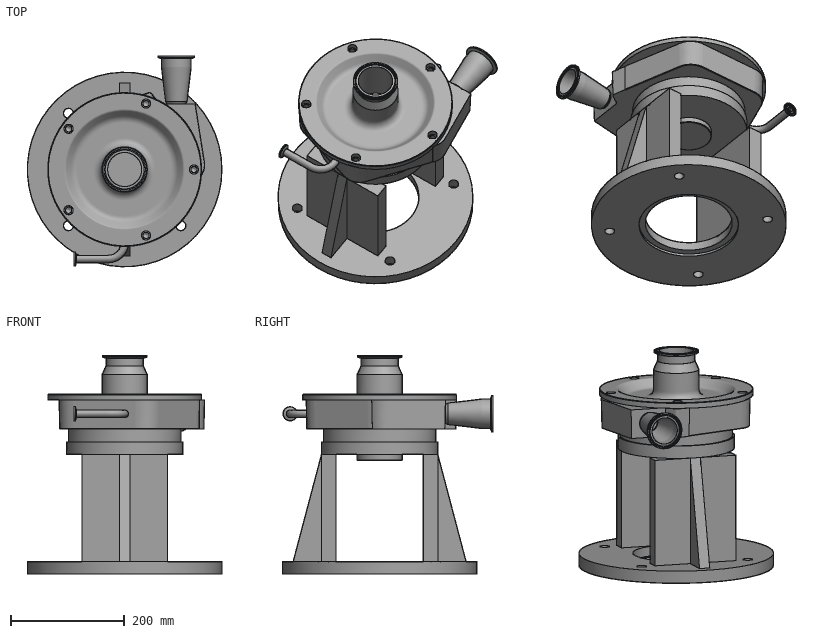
import cadquery as cq
import math

BASE_DIA = 343.0
BASE_THICK = 22.0
BASE_BORE_DIA = 153.0
BASE_RECESS_DIA = 175.0
BASE_RECESS_DEPTH = 5.0
BASE_HOLE_DIA = 17.0
BASE_HOLE_CIRCLE_DIA = 280.0
BASE_HOLE_COUNT = 4
UPRIGHT_WIDTH = 151.0
UPRIGHT_TOP_Z = 211.0
UPRIGHT_THICK = 26.0
GUSSET_WIDTH = 19.0
GUSSET_REACH = 50.0

LOWER_RING_DIA = 205.0
LOWER_RING_TOP_Z = 233.0
UPPER_RING_DIA = 198.5
STUB_LENGTH = 10.5
STUB_CHAMFER = 1.0

CASING_BOTTOM_Z = 255.5
CASING_TOP_Z = 307.0
CASING_SIDES = 5
CORNER_CIRCLE_RADIUS = 98.7
CORNER_RADIUS = 35.8
CASING_DRAFT_DEG = 1.3
CASING_EDGE_CHAMFER = 1.0

SHOULDER_FACE_Y = 115.8
SHOULDER_TOP_X = 124.3
SHOULDER_SIDE_X = 140.2
SHOULDER_SIDE_Y = 15.0
SHOULDER_ROUND_X = 140.5
SHOULDER_ROUND_Y = 3.0
SHOULDER_TAIL_X = 132.0
SHOULDER_TAIL_Y = -14.0
LUG_TIP_X = 46.0
LUG_FOOT_X = 60.0
LUG_TIP_FILLET = 6.0

COVER_DIA = 271.0
COVER_TOP_Z = 317.0
COVER_EDGE_CHAMFER = 1.0
DISH_DEPTH = 15.0
DISH_FLOOR_RADIUS = 83.0
DISH_FLOOR_FILLET = 15.0
DISH_RIM_FILLET = 5.0
DISH_WALL_DEG = 45.0
BOLT_CIRCLE_DIA = 244.0
BOLT_CLEARANCE_DIA = 16.0
BOLT_TAP_DIA = 11.0
BOLT_TAP_DEPTH = 20.0
DRILL_POINT_DEG = 118.0

SUCTION_BODY_DIA = 79.8
SUCTION_NECK_DIA = 65.8
SUCTION_BORE_DIA = 60.0
SUCTION_FLANGE_DIA = 78.0
SUCTION_BODY_TOP_Z = 351.5
SUCTION_NECK_START_Z = 367.0
SUCTION_TOP_Z = 385.0
SUCTION_ROOT_FILLET = 14.5

NOZZLE_AXIS_Z = 282.5
DISCHARGE_X = 91.0
DISCHARGE_END_Y = 200.0
DISCHARGE_FLANGE_DIA = 64.0
DISCHARGE_NECK_DIA = 52.5
DISCHARGE_CONE_START_Y = 180.0
DISCHARGE_ROOT_DIA = 38.0
DISCHARGE_CONE_END_Y = 120.0
DISCHARGE_WELD_DIA = 33.0
DISCHARGE_BORE_DIA = 31.0
DISCHARGE_MOUTH_DIA = 47.0

DRAIN_DIA = 13.3
DRAIN_BORE_DIA = 9.0
DRAIN_Y = -157.7
DRAIN_END_X = -89.6
DRAIN_BEND_RADIUS = 29.0
DRAIN_ROOT_Y = -112.0
DRAIN_FLANGE_DIA = 25.0

FLANGE_RIM = 2.8
FLANGE_TAPER = 2.0
GROOVE_INSET = 2.5
GROOVE_WIDTH = 2.2
GROOVE_DEPTH = 1.0

WELD_OVERLAP = 3.0

CORNER_STEP_DEG = 360 / CASING_SIDES
CASING_HEIGHT = CASING_TOP_Z - CASING_BOTTOM_Z
DISH_FLOOR_Z = COVER_TOP_Z - DISH_DEPTH
UPRIGHT_OUTER_Y = LOWER_RING_DIA / 2


def disc(diameter, bottom_z, top_z):
    return cq.Workplane("XY").workplane(offset=bottom_z).circle(diameter / 2).extrude(top_z - bottom_z)


def revolve_z(profile):
    """Turn a closed (radius, height) profile about the Z axis."""
    return profile.close().revolve(360, (0, 0, 0), (0, 1, 0))


def clamp_flange(diameter, tube_dia):
    """Clamp flange about Z: flat sealing face at z = 0, tapering back to the tube below it."""
    radius = diameter / 2
    body = revolve_z(
        cq.Workplane("XZ")
        .lineTo(radius, 0)
        .lineTo(radius, -FLANGE_RIM)
        .lineTo(tube_dia / 2, -FLANGE_RIM - FLANGE_TAPER)
        .lineTo(0, -FLANGE_RIM - FLANGE_TAPER)
    )
    groove_outer = radius - GROOVE_INSET
    groove = (
        cq.Workplane("XY")
        .circle(groove_outer)
        .circle(groove_outer - GROOVE_WIDTH)
        .extrude(-GROOVE_DEPTH)
    )
    return body.cut(groove)


def make_stand():
    base = (
        disc(BASE_DIA, 0, BASE_THICK)
        .cut(disc(BASE_BORE_DIA, 0, BASE_THICK))
        .cut(disc(BASE_RECESS_DIA, 0, BASE_RECESS_DEPTH))
    )
    holes = (
        cq.Workplane("XY")
        .polarArray(BASE_HOLE_CIRCLE_DIA / 2, 180 / BASE_HOLE_COUNT, 360, BASE_HOLE_COUNT)
        .circle(BASE_HOLE_DIA / 2)
        .extrude(BASE_THICK)
    )
    stand = base.cut(holes)
    upright = (
        cq.Workplane("XY")
        .box(UPRIGHT_WIDTH, UPRIGHT_THICK, UPRIGHT_TOP_Z - BASE_THICK, centered=(True, False, False))
        .translate((0, UPRIGHT_OUTER_Y - UPRIGHT_THICK, BASE_THICK))
    )
    gusset = (
        cq.Workplane("YZ")
        .moveTo(UPRIGHT_OUTER_Y, BASE_THICK)
        .lineTo(UPRIGHT_OUTER_Y + GUSSET_REACH, BASE_THICK)
        .lineTo(UPRIGHT_OUTER_Y, UPRIGHT_TOP_Z)
        .close()
        .extrude(GUSSET_WIDTH / 2, both=True)
    )
    leg = upright.union(gusset)
    return stand.union(leg).union(leg.mirror("XZ"))


def make_rings():
    lower = disc(LOWER_RING_DIA, UPRIGHT_TOP_Z, LOWER_RING_TOP_Z)
    upper = disc(UPPER_RING_DIA, LOWER_RING_TOP_Z, CASING_BOTTOM_Z)
    stub = disc(SUCTION_BODY_DIA, UPRIGHT_TOP_Z - STUB_LENGTH, UPRIGHT_TOP_Z)
    return lower.union(upper).union(stub.faces("<Z").chamfer(STUB_CHAMFER))


def corner_point(corner_deg, normal_deg):
    """Point on a casing corner round where its outward normal has the given direction."""
    corner = math.radians(corner_deg)
    normal = math.radians(normal_deg)
    return (
        CORNER_CIRCLE_RADIUS * math.cos(corner) + CORNER_RADIUS * math.cos(normal),
        CORNER_CIRCLE_RADIUS * math.sin(corner) + CORNER_RADIUS * math.sin(normal),
    )


def casing_extrude(outline):
    """Extrude a closed outline from the casing top down, with the casing draft."""
    return outline.close().extrude(-CASING_HEIGHT, taper=CASING_DRAFT_DEG)


def make_casing():
    """Drafted pentagon with rounded corners that point at the cover bolts."""
    half_step = CORNER_STEP_DEG / 2
    outline = cq.Workplane("XY").workplane(offset=CASING_TOP_Z).moveTo(*corner_point(0, -half_step))
    for i in range(CASING_SIDES):
        corner = i * CORNER_STEP_DEG
        if i > 0:
            outline = outline.lineTo(*corner_point(corner, corner - half_step))
        outline = outline.threePointArc(
            corner_point(corner, corner), corner_point(corner, corner + half_step)
        )
    return casing_extrude(outline).faces("<Z").chamfer(CASING_EDGE_CHAMFER)


def make_shoulder():
    """Discharge shoulder and the small lug that carries a pentagon side past its corner."""
    lug_side_normal = 1.5 * CORNER_STEP_DEG
    lug_start_x, lug_start_y = corner_point(CORNER_STEP_DEG, lug_side_normal)
    lug_tip_y = lug_start_y - (LUG_TIP_X - lug_start_x) / math.tan(math.radians(lug_side_normal))
    outline = (
        cq.Workplane("XY")
        .workplane(offset=CASING_TOP_Z)
        .lineTo(SHOULDER_TAIL_X, SHOULDER_TAIL_Y)
        .threePointArc((SHOULDER_ROUND_X, SHOULDER_ROUND_Y), (SHOULDER_SIDE_X, SHOULDER_SIDE_Y))
        .lineTo(SHOULDER_TOP_X, SHOULDER_FACE_Y)
        .lineTo(LUG_FOOT_X, SHOULDER_FACE_Y)
        .lineTo(LUG_TIP_X, lug_tip_y)
        .lineTo(lug_start_x, lug_start_y)
    )
    lug_tip = cq.NearestToPointSelector((LUG_TIP_X, lug_tip_y, CASING_TOP_Z - CASING_HEIGHT / 2))
    return casing_extrude(outline).edges(lug_tip).fillet(LUG_TIP_FILLET)


def dish_cutter():
    """Ring-shaped dish: rim round, sloping wall, floor fillet, flat floor, nozzle root fillet."""
    slope = math.radians(DISH_WALL_DEG)
    half = slope / 2

    floor_end_r = DISH_FLOOR_RADIUS + DISH_FLOOR_FILLET * math.sin(slope)
    floor_end_z = DISH_FLOOR_Z + DISH_FLOOR_FILLET * (1 - math.cos(slope))
    floor_mid_r = DISH_FLOOR_RADIUS + DISH_FLOOR_FILLET * math.sin(half)
    floor_mid_z = DISH_FLOOR_Z + DISH_FLOOR_FILLET * (1 - math.cos(half))

    rim_start_z = COVER_TOP_Z - DISH_RIM_FILLET * (1 - math.cos(slope))
    rim_start_r = floor_end_r + (rim_start_z - floor_end_z) / math.tan(slope)
    rim_r = rim_start_r + DISH_RIM_FILLET * math.sin(slope)
    rim_mid_r = rim_r - DISH_RIM_FILLET * math.sin(half)
    rim_mid_z = COVER_TOP_Z - DISH_RIM_FILLET * (1 - math.cos(half))

    root_r = SUCTION_BODY_DIA / 2
    root_center_r = root_r + SUCTION_ROOT_FILLET
    root_center_z = DISH_FLOOR_Z + SUCTION_ROOT_FILLET
    root_offset = SUCTION_ROOT_FILLET / math.sqrt(2)
    return revolve_z(
        cq.Workplane("XZ")
        .moveTo(root_r, COVER_TOP_Z)
        .lineTo(root_r, root_center_z)
        .threePointArc(
            (root_center_r - root_offset, root_center_z - root_offset),
            (root_center_r, DISH_FLOOR_Z),
        )
        .lineTo(DISH_FLOOR_RADIUS, DISH_FLOOR_Z)
        .threePointArc((floor_mid_r, floor_mid_z), (floor_end_r, floor_end_z))
        .lineTo(rim_start_r, rim_start_z)
        .threePointArc((rim_mid_r, rim_mid_z), (rim_r, COVER_TOP_Z))
    )


def bolt_cutters():
    """Clearance holes in the cover over blind drilled holes in the casing corners."""
    tap_r = BOLT_TAP_DIA / 2
    tap_bottom_z = CASING_TOP_Z - BOLT_TAP_DEPTH
    point_z = tap_bottom_z - tap_r / math.tan(math.radians(DRILL_POINT_DEG / 2))
    cutter = revolve_z(
        cq.Workplane("XZ")
        .moveTo(0, COVER_TOP_Z)
        .lineTo(BOLT_CLEARANCE_DIA / 2, COVER_TOP_Z)
        .lineTo(BOLT_CLEARANCE_DIA / 2, CASING_TOP_Z)
        .lineTo(tap_r, CASING_TOP_Z)
        .lineTo(tap_r, tap_bottom_z)
        .lineTo(0, point_z)
    ).translate((BOLT_CIRCLE_DIA / 2, 0, 0))
    cutters = cq.Workplane("XY")
    for i in range(CASING_SIDES):
        cutters = cutters.union(cutter.rotate((0, 0, 0), (0, 0, 1), i * CORNER_STEP_DEG))
    return cutters


def make_cover():
    cover = disc(COVER_DIA, CASING_TOP_Z, COVER_TOP_Z)
    return cover.faces(">Z").chamfer(COVER_EDGE_CHAMFER)


def make_suction():
    body = revolve_z(
        cq.Workplane("XZ")
        .moveTo(0, DISH_FLOOR_Z)
        .lineTo(SUCTION_BODY_DIA / 2, DISH_FLOOR_Z)
        .lineTo(SUCTION_BODY_DIA / 2, SUCTION_BODY_TOP_Z)
        .lineTo(SUCTION_NECK_DIA / 2, SUCTION_NECK_START_Z)
        .lineTo(SUCTION_NECK_DIA / 2, SUCTION_TOP_Z - FLANGE_RIM)
        .lineTo(0, SUCTION_TOP_Z - FLANGE_RIM)
    )
    flange = clamp_flange(SUCTION_FLANGE_DIA, SUCTION_NECK_DIA).translate((0, 0, SUCTION_TOP_Z))
    return body.union(flange)


def to_discharge(shape):
    """Move a shape built along Z (Z standing for the part's Y) onto the discharge axis."""
    return shape.rotate((0, 0, 0), (1, 0, 0), -90).translate((DISCHARGE_X, 0, NOZZLE_AXIS_Z))


def make_discharge():
    body = revolve_z(
        cq.Workplane("XZ")
        .moveTo(0, SHOULDER_FACE_Y - WELD_OVERLAP)
        .lineTo(DISCHARGE_WELD_DIA / 2, SHOULDER_FACE_Y - WELD_OVERLAP)
        .lineTo(DISCHARGE_WELD_DIA / 2, SHOULDER_FACE_Y)
        .lineTo(DISCHARGE_ROOT_DIA / 2, DISCHARGE_CONE_END_Y)
        .lineTo(DISCHARGE_NECK_DIA / 2, DISCHARGE_CONE_START_Y)
        .lineTo(DISCHARGE_NECK_DIA / 2, DISCHARGE_END_Y - FLANGE_RIM)
        .lineTo(0, DISCHARGE_END_Y - FLANGE_RIM)
    )
    flange = clamp_flange(DISCHARGE_FLANGE_DIA, DISCHARGE_NECK_DIA).translate((0, 0, DISCHARGE_END_Y))
    return to_discharge(body.union(flange))


def discharge_bore():
    return to_discharge(
        revolve_z(
            cq.Workplane("XZ")
            .moveTo(0, SHOULDER_FACE_Y)
            .lineTo(DISCHARGE_BORE_DIA / 2, SHOULDER_FACE_Y)
            .lineTo(DISCHARGE_BORE_DIA / 2, DISCHARGE_CONE_END_Y)
            .lineTo(DISCHARGE_MOUTH_DIA / 2, DISCHARGE_CONE_START_Y)
            .lineTo(DISCHARGE_MOUTH_DIA / 2, DISCHARGE_END_Y)
            .lineTo(0, DISCHARGE_END_Y)
        )
    )


def drain_rod(diameter):
    """Round bar along the drain centreline: straight along X, quarter bend, then into the casing."""
    bend_offset = DRAIN_BEND_RADIUS / math.sqrt(2)
    bend_end_y = DRAIN_Y + DRAIN_BEND_RADIUS
    path = (
        cq.Workplane("XY")
        .workplane(offset=NOZZLE_AXIS_Z)
        .moveTo(DRAIN_END_X, DRAIN_Y)
        .lineTo(-DRAIN_BEND_RADIUS, DRAIN_Y)
        .threePointArc((bend_offset - DRAIN_BEND_RADIUS, bend_end_y - bend_offset), (0, bend_end_y))
        .lineTo(0, DRAIN_ROOT_Y)
    )
    start = cq.Workplane("YZ", origin=(DRAIN_END_X, DRAIN_Y, NOZZLE_AXIS_Z))
    return start.circle(diameter / 2).sweep(path)


def make_drain():
    flange = (
        clamp_flange(DRAIN_FLANGE_DIA, DRAIN_DIA)
        .rotate((0, 0, 0), (0, 1, 0), -90)
        .translate((DRAIN_END_X, DRAIN_Y, NOZZLE_AXIS_Z))
    )
    return drain_rod(DRAIN_DIA).union(flange)


result = (
    make_stand()
    .union(make_rings())
    .union(make_casing())
    .union(make_shoulder())
    .union(make_cover())
    .cut(dish_cutter())
    .union(make_suction())
    .union(make_discharge())
    .union(make_drain())
    .cut(bolt_cutters())
    .cut(disc(SUCTION_BORE_DIA, DISH_FLOOR_Z, SUCTION_TOP_Z))
    .cut(discharge_bore())
    .cut(drain_rod(DRAIN_BORE_DIA))
)